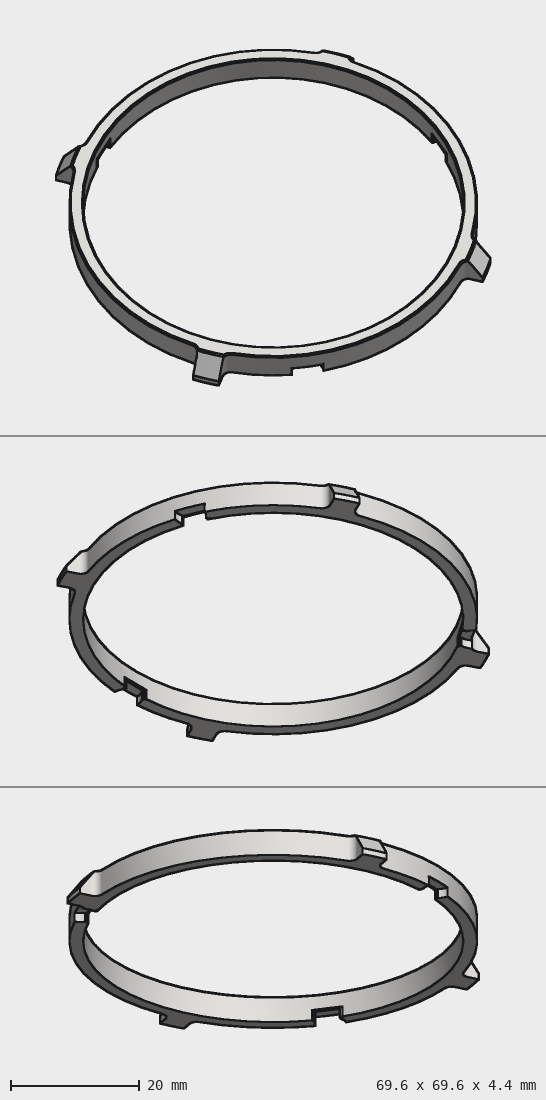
import cadquery as cq
import math

bore_radius = 59.0 / 2
ring_radius = 31.65
height = 4.4
edge_chamfer = 0.2

tab_count = 4
tab_tip_radius = 34.8
tab_width = 4.2
tab_root_fillet = 1.3
tip_height = 1.05
slope_top_radius = 32.3

notch_angles = (46.6, 170.8, 297.3)
notch_mouth_width = 5.0
notch_throat_width = 4.1
notch_height = 1.5
notch_throat_radius = 30.05
notch_flare_width = 0.4
notch_flare_rise = 0.3
notch_flare_depth = 0.2


def tab_blank(angle):
    """Full-height radial bar starting in the middle of the ring wall."""
    inner_end = (bore_radius + ring_radius) / 2
    outer_end = tab_tip_radius + 0.7
    return (
        cq.Workplane("XY")
        .center((inner_end + outer_end) / 2, 0)
        .rect(outer_end - inner_end, tab_width)
        .extrude(height)
        .rotate((0, 0, 0), (0, 0, 1), angle)
    )


def envelope():
    """Turned limit: a cylinder at the tab tips with a cone above it."""
    return (
        cq.Workplane("XZ")
        .moveTo(0, 0)
        .lineTo(tab_tip_radius, 0)
        .lineTo(tab_tip_radius, tip_height)
        .lineTo(slope_top_radius, height)
        .lineTo(0, height)
        .close()
        .revolve(360, (0, 0), (0, 1))
    )


def notch(angle):
    """Slot with concave outer mouth walls and an inner flare on its sides and ceiling."""
    half_mouth = notch_mouth_width / 2
    half_throat = notch_throat_width / 2
    inner_end = bore_radius - 0.7
    outer_end = ring_radius + 0.7
    slot = (
        cq.Workplane("XY")
        .moveTo(inner_end, -half_throat)
        .lineTo(inner_end, half_throat)
        .lineTo(notch_throat_radius, half_throat)
        .lineTo(notch_throat_radius, -half_throat)
        .close()
        .extrude(notch_height)
    )
    mouth_start = math.sqrt(ring_radius**2 - half_mouth**2)
    mouth = (
        cq.Workplane("XY")
        .moveTo(outer_end, half_mouth)
        .lineTo(mouth_start, half_mouth)
        .tangentArcPoint((notch_throat_radius, half_throat), relative=False)
        .lineTo(notch_throat_radius, 0)
        .lineTo(outer_end, 0)
        .close()
        .extrude(notch_height)
    )
    mouth = mouth.union(mouth.mirror("XZ"))

    flare = (
        cq.Workplane("YZ", origin=(bore_radius, 0, 0))
        .rect(notch_throat_width + 2 * notch_flare_width, 2 * (notch_height + notch_flare_rise))
        .workplane(offset=notch_flare_depth)
        .rect(notch_throat_width, 2 * notch_height)
        .loft(ruled=True)
    )
    cutter = slot.union(mouth).union(flare)
    return cutter.rotate((0, 0, 0), (0, 0, 1), angle)


body = cq.Workplane("XY").circle(ring_radius).extrude(height)
for index in range(tab_count):
    body = body.union(tab_blank(index * 360 / tab_count))

root_reach = math.sqrt(ring_radius**2 - (tab_width / 2) ** 2)
root_selection = cq.selectors.BoxSelector(
    (-root_reach - edge_chamfer, -root_reach - edge_chamfer, 0),
    (root_reach + edge_chamfer, root_reach + edge_chamfer, height),
)
body = body.edges("|Z").edges(root_selection).fillet(tab_root_fillet)

body = body.intersect(envelope())
body = body.cut(cq.Workplane("XY").circle(bore_radius).extrude(height))
body = body.faces(">Z").edges().chamfer(edge_chamfer)

for notch_angle in notch_angles:
    body = body.cut(notch(notch_angle))

result = body